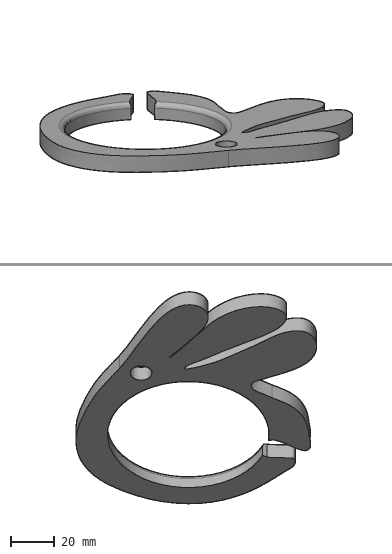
import cadquery as cq
import math


thickness = 8.0

bore_radius = 37.5
bore_fillet = 2.5
rim_radius = bore_radius + bore_fillet

hole_diameter = 10.0
hole_center = (41.1, 26.25)

lower_jaw_y = 5.0
upper_jaw_y = 17.4
upper_jaw_bore_y = 15.5

left_end = -53.4
right_end = 53.4
bottom_end = -49.8
top_end = 97.44

narrow_slit_bottom = (35.35, 42.6)

RIGHT = (1, 0)
UP = (0, 1)
DOWN = (0, -1)


def on_circle_at_height(radius, height):
    """Point on the -X half of a circle about the bore axis."""
    return (-math.sqrt(radius**2 - height**2), height)


upper_jaw_bore = on_circle_at_height(bore_radius, upper_jaw_bore_y)
lower_jaw_rim = on_circle_at_height(rim_radius, lower_jaw_y)
lower_jaw_bore = on_circle_at_height(bore_radius, lower_jaw_y)


def add_thumb(outline):
    """Upper jaw: underside curving away from the bore, rounded tip and a bulging back that ends level."""
    return outline.spline(
        [(-36.3, 17.0), (-38.2, upper_jaw_y), (-44.0, upper_jaw_y), (-50.8, upper_jaw_y), (-52.6, 18.0),
         (left_end, 19.6), (-50.8, 25.2), (-43.4, 34.6), (-36.8, 39.6), (-29.0, 42.1), (-20.0, 42.3)],
        tangents=[(-0.82, 0.57), RIGHT],
        scale=False,
        includeCurrent=True,
    )


def add_first_finger(outline):
    """Finger beside the thumb, from the crotch round to the bottom of the open slit."""
    return outline.spline(
        [(-12.5, 42.5), (-9.0, 43.3), (-7.0, 46.0), (-8.4, 49.7),
         (-16.8, 61.6), (-20.6, 69.2), (-21.7, 76.5), (-18.2, 85.7), (-9.8, 90.3), (-0.9, 84.2),
         (3.7, 74.7), (9.5, 62.0), (15.0, 51.3), (21.0, 43.1), (24.8, 39.2)],
        tangents=[RIGHT, (0.78, -0.62)],
        scale=False,
        includeCurrent=True,
    )


def add_middle_finger(outline):
    """Longest finger, from the open slit over the top and down into the narrow slit."""
    return outline.spline(
        [(25.4, 41.2), (23.9, 44.6), (16.5, 58.7), (8.4, 73.2), (3.9, 82.4), (2.2, 90.0), (4.0, 95.7),
         (9.1, top_end), (20.8, 92.6), (27.6, 83.9), (31.1, 74.2), (32.1, 66.8), (33.3, 55.5),
         (34.0, 50.0), (34.8, 44.6), narrow_slit_bottom],
        tangents=[(0.89, 0.45), (0.3, -0.95)],
        scale=False,
        includeCurrent=True,
    )


def add_last_finger(outline):
    """Short finger, from the bottom of the narrow slit to the outer edge of the palm."""
    return outline.spline(
        [(35.25, 44.6), (34.35, 50.0), (33.6, 55.5), (32.5, 67.5), (33.6, 74.2), (37.2, 79.0), (42.0, 80.5),
         (46.5, 79.4), (50.6, 74.8), (52.8, 67.6), (right_end, 60.0), (52.4, 40.2), (51.4, 24.0)],
        tangents=[UP, DOWN],
        scale=False,
        includeCurrent=True,
    )


def add_palm(outline):
    """Outer edge of the ring, from the last finger round the tip of the lower jaw to its rim."""
    return outline.spline(
        [(51.6, 4.0), (49.1, -12.4), (43.2, -29.4), (32.1, -42.3), (20.2, -48.1), (7.4, bottom_end),
         (-14.6, -46.8), (-34.6, -34.9), (-48.6, -11.2), (-52.4, 1.7), (-53.3, 7.0), (-51.2, 10.3),
         (-47.1, 8.9), lower_jaw_rim],
        tangents=[DOWN, (0.87, -0.5)],
        scale=False,
        includeCurrent=True,
    )


def make_plate():
    """Plate with the whole outline, the bore being the long arc between the two jaws."""
    outline = cq.Workplane("XY").moveTo(*upper_jaw_bore)
    for add_stretch in (add_thumb, add_first_finger, add_middle_finger, add_last_finger, add_palm):
        outline = add_stretch(outline)
    outline = (
        outline.lineTo(*lower_jaw_bore)
        .threePointArc((bore_radius, 0), upper_jaw_bore)
        .close()
    )
    return outline.extrude(thickness)


def make_bore_rounding():
    """Ring of material to remove so that the top edge of the bore becomes a quarter round."""
    fillet_start = (bore_radius, thickness - bore_fillet)
    fillet_end = (rim_radius, thickness)
    fillet_offset = bore_fillet * math.sqrt(0.5)
    fillet_middle = (rim_radius - fillet_offset, thickness - bore_fillet + fillet_offset)
    return (
        cq.Workplane("XZ")
        .moveTo(*fillet_start)
        .threePointArc(fillet_middle, fillet_end)
        .lineTo(bore_radius, thickness)
        .close()
        .revolve(360, (0, 0, 0), (0, 1, 0))
    )


def make_hole():
    """Through hole in the palm."""
    return cq.Workplane("XY").center(*hole_center).circle(hole_diameter / 2).extrude(thickness)


result = make_plate().cut(make_bore_rounding()).cut(make_hole())